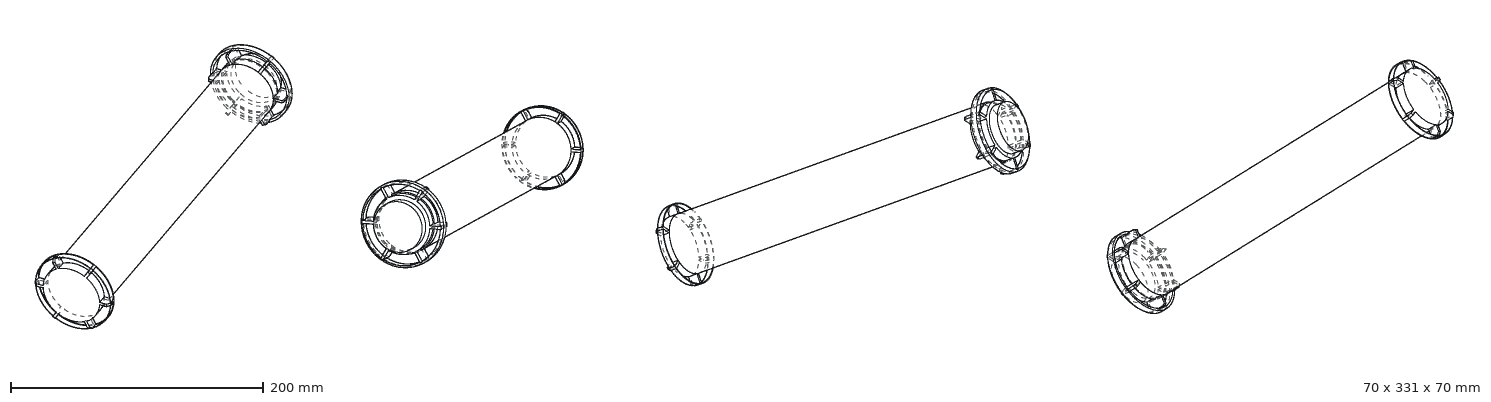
import cadquery as cq

total_length = 331.0
hub_diameter = 50.2
tube_diameter = 50.0
rear_neck_diameter = 48.0
stub_diameter = 41.0
stub_length = 8.0

rear_ring_diameter = 70.0
rear_ring_bore = 65.8
rear_ring_width = 7.5
rear_ring_chamfer = 2.0
rear_ring_back = total_length - stub_length
rear_ring_front = rear_ring_back - rear_ring_width

front_ring_diameter = 67.3
front_ring_bore = 66.0
front_ring_tip_diameter = 66.7
front_ring_taper_start = 6.0
front_ring_front = 3.0
front_ring_back = 8.5

spoke_count = 6
spoke_thickness = 2.4
spoke_reach = 33.5
rear_spoke_length = 8.0
rear_spoke_front = rear_ring_front - rear_spoke_length
rear_spoke_chamfer_radial = 1.0
rear_spoke_chamfer_axial = 2.0
front_spoke_chamfer_radial = 2.5
front_spoke_chamfer_axial = front_ring_front


def cylinder(diameter, y_start, y_end):
    """Cylinder about the Y axis between two Y positions."""
    base = cq.Workplane("XZ", origin=(0, y_start, 0))
    return base.circle(diameter / 2).extrude(y_start - y_end)


def revolved(profile):
    """Solid of revolution about the Y axis from (radius, Y) points."""
    return cq.Workplane("XY").polyline(profile).close().revolve(360, (0, 0, 0), (0, 1, 0))


def spokes(y_start, y_end, chamfer_radial, chamfer_axial):
    """Radial ribs from the axis outward, bevelled at the outer corner facing -Y."""
    rib = (
        cq.Workplane("XY", origin=(0, 0, -spoke_thickness / 2))
        .moveTo(0, y_start)
        .lineTo(spoke_reach - chamfer_radial, y_start)
        .lineTo(spoke_reach, y_start + chamfer_axial)
        .lineTo(spoke_reach, y_end)
        .lineTo(0, y_end)
        .close()
        .extrude(spoke_thickness)
    )
    ribs = rib
    for index in range(1, spoke_count):
        angle = index * 360 / spoke_count
        ribs = ribs.union(rib.rotate((0, 0, 0), (0, 1, 0), angle))
    return ribs


def body():
    """Stepped shaft: front hub, tube, rear hub, neck and end stub."""
    front_hub = cylinder(hub_diameter, 0, front_ring_back)
    tube = cylinder(tube_diameter, front_ring_back, rear_spoke_front)
    rear_hub = cylinder(hub_diameter, rear_spoke_front, rear_ring_front)
    neck = cylinder(rear_neck_diameter, rear_ring_front, rear_ring_back)
    stub = cylinder(stub_diameter, rear_ring_back, total_length)
    return front_hub.union(tube).union(rear_hub).union(neck).union(stub)


def front_end():
    """Thin ring tapering toward -Y, carried on spokes that reach the front face."""
    rim_profile = [
        (front_ring_bore / 2, front_ring_front),
        (front_ring_tip_diameter / 2, front_ring_front),
        (front_ring_diameter / 2, front_ring_taper_start),
        (front_ring_diameter / 2, front_ring_back),
        (front_ring_bore / 2, front_ring_back),
    ]
    rim = revolved(rim_profile)
    ribs = spokes(0, front_ring_back, front_spoke_chamfer_radial, front_spoke_chamfer_axial)
    return rim.union(ribs)


def rear_end():
    """Larger ring chamfered at its +Y edge, with spokes that project toward -Y."""
    rim_profile = [
        (rear_ring_bore / 2, rear_ring_front),
        (rear_ring_diameter / 2, rear_ring_front),
        (rear_ring_diameter / 2, rear_ring_back - rear_ring_chamfer),
        (rear_ring_diameter / 2 - rear_ring_chamfer, rear_ring_back),
        (rear_ring_bore / 2, rear_ring_back),
    ]
    rim = revolved(rim_profile)
    ribs = spokes(rear_spoke_front, rear_ring_back, rear_spoke_chamfer_radial, rear_spoke_chamfer_axial)
    return rim.union(ribs)


result = body().union(front_end()).union(rear_end())